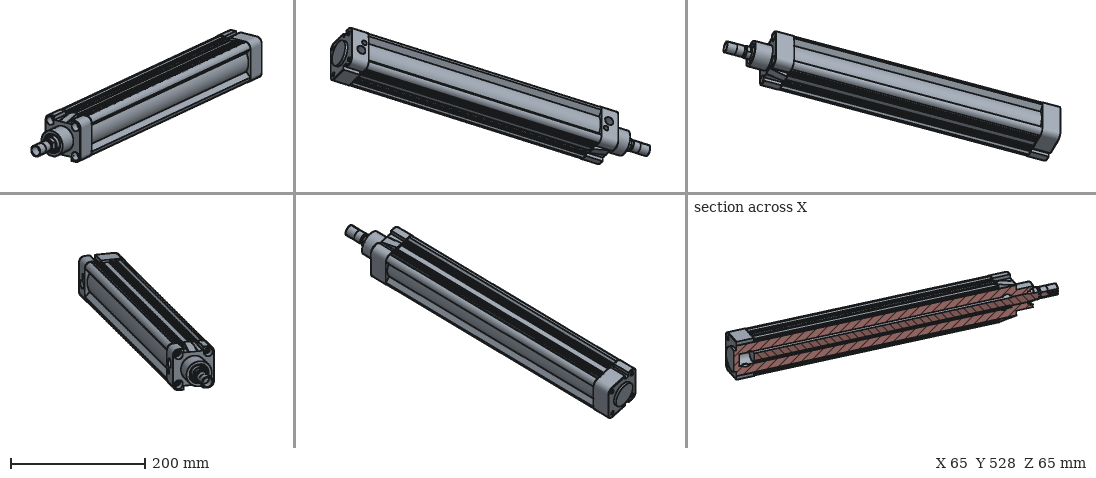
import cadquery as cq
import math

LENGTH = 528.0
WIDTH = 65.0
HALF = WIDTH / 2
CORNER_RADIUS = 10.0
FLAT_END = HALF - CORNER_RADIUS

ROD_TIP = -LENGTH / 2
REAR_END = LENGTH / 2
BOSS_DIAMETER = 39.5
REAR_BOSS_LENGTH = 4.0
NOSE_LENGTH = 27.0
CAP_LENGTH = 29.0
BODY_LENGTH = 456.0
REAR_FACE = REAR_END - REAR_BOSS_LENGTH
FRONT_FACE = REAR_FACE - BODY_LENGTH
NOSE_FACE = FRONT_FACE - NOSE_LENGTH
FRONT_JOINT = FRONT_FACE + CAP_LENGTH
REAR_JOINT = REAR_FACE - CAP_LENGTH
CAP_CHAMFER = 0.8

TUBE_INSET = 0.5
TUBE_HALF = HALF - TUBE_INSET
BARREL_RADIUS = 28.5
SIDE_SLOPE_START = FLAT_END
SIDE_SLOPE_END = 15.0
VEE_OUTER = FLAT_END
VEE_ROOT = 18.5
VEE_INNER = 15.5
VEE_DEPTH = 3.95
SLOT_CENTRE = 11.0
SLOT_OPENING = 5.5
SLOT_WIDTH = 9.5
SLOT_DEPTH = 6.0
LIP_THICKNESS = 2.5
LIP_INNER = 7.5
LIP_FOOT = 6.0

RAMP_FOOT_WIDTH = 14.0
RAMP_TOP_WIDTH = 11.0
NOTCH_INNER = RAMP_FOOT_WIDTH / 2
NOTCH_OUTER = 15.5
NOTCH_DEPTH = 6.5
RAMP_TOP = RAMP_TOP_WIDTH / 2

SCREW_OFFSET = 23.0
SCREW_DIAMETER = 6.5
SCREW_HEAD_DIAMETER = 13.0
SCREW_STEP_DIAMETER = 9.5
SCREW_HEAD_DEPTH = 13.0
SCREW_STEP_DEPTH = 18.5

PORT_DIAMETER = 13.5
PORT_FROM_JOINT = 12.5
PORT_Z = 6.5
NEEDLE_DIAMETER = 8.0
NEEDLE_FROM_JOINT = 7.5
NEEDLE_Z = 8.0

PASSAGE_DIAMETER = 25.0
WIPER_DIAMETER = 30.0
WIPER_DEPTH = 4.0
SEAL_DEPTH = 8.5
GUIDE_OVERLAP = 8.0
REAR_WALL = 5.5
GUIDE_END = FRONT_FACE + GUIDE_OVERLAP
CHAMBER_END = REAR_FACE - REAR_WALL

ROD_DIAMETER = 20.0
SHANK_PROTRUSION = 1.5
WRENCH_RADIUS = 9.5
WRENCH_LENGTH = 8.0
FLAT_HALF_WIDTH = 8.0
FLAT_LENGTH = 6.5
NECK_DIAMETER = 15.5
NECK_LENGTH = 3.0
WRENCH_START = NOSE_FACE - SHANK_PROTRUSION
NECK_START = WRENCH_START - WRENCH_LENGTH
STUD_START = NECK_START - NECK_LENGTH
STUD_DIAMETER = 17.5
STUD_BORE_DIAMETER = 15.0
STUD_BORE_DEPTH = 16.0


def bar(diameter, start, end, x=0.0, z=0.0):
    """Round bar parallel to Y between two stations."""
    plane = cq.Plane(origin=(x, start, z), xDir=(1, 0, 0), normal=(0, 1, 0))
    return cq.Workplane(plane).circle(diameter / 2).extrude(end - start)


def block(x_start, x_end, y_start, y_end, z_start, z_end):
    """Box given by its limits."""
    size = (x_end - x_start, y_end - y_start, z_end - z_start)
    return cq.Workplane().box(*size, centered=False).translate((x_start, y_start, z_start))


def prism(points, start, end):
    """Closed X-Z outline extruded along Y between two stations."""
    outline = cq.Workplane("XZ", origin=(0, start, 0)).polyline(points).close()
    return outline.extrude(start - end)


def both_x(shape):
    """The shape and its mirror image across X."""
    return [shape, shape.mirror("YZ")]


def both_z(shape):
    """The shape and its mirror image across Z."""
    return [shape, shape.mirror("XY")]


def rounded_bar(half, start, end):
    """Square bar along Y with rounded corners, whose flats end at the same place for any size."""
    radius = half - FLAT_END
    return block(-half, half, start, end, -half, half).edges("|Y").fillet(radius)


def make_tube():
    """Profiled tube between the two end caps."""
    start, end = FRONT_JOINT, REAR_JOINT
    tube = rounded_bar(TUBE_HALF, start, end)
    barrel = bar(2 * BARREL_RADIUS, start, end)

    slope_foot = math.sqrt(BARREL_RADIUS**2 - SIDE_SLOPE_END**2)
    side = prism([(TUBE_HALF, SIDE_SLOPE_START), (slope_foot, SIDE_SLOPE_END),
                  (slope_foot, -SIDE_SLOPE_END), (TUBE_HALF, -SIDE_SLOPE_START)], start, end)
    barrel_edge = math.sqrt(BARREL_RADIUS**2 - LIP_FOOT**2)
    middle = prism([(-LIP_INNER, TUBE_HALF), (-LIP_FOOT, barrel_edge),
                    (LIP_FOOT, barrel_edge), (LIP_INNER, TUBE_HALF)], start, end)
    vee = prism([(VEE_OUTER, TUBE_HALF), (VEE_ROOT, TUBE_HALF - VEE_DEPTH),
                 (VEE_INNER, TUBE_HALF)], start, end)
    opening = block(SLOT_CENTRE - SLOT_OPENING / 2, SLOT_CENTRE + SLOT_OPENING / 2,
                    start, end, TUBE_HALF - SLOT_DEPTH, TUBE_HALF)
    undercut = block(SLOT_CENTRE - SLOT_WIDTH / 2, SLOT_CENTRE + SLOT_WIDTH / 2,
                     start, end, TUBE_HALF - SLOT_DEPTH, TUBE_HALF - LIP_THICKNESS)

    for recess in both_x(side.cut(barrel)) + both_z(middle.cut(barrel)):
        tube = tube.cut(recess)
    for groove in (vee, opening, undercut):
        for right in both_z(groove):
            for copy in both_x(right):
                tube = tube.cut(copy)
    return tube


def make_ramp():
    """Tapered block that falls from the joint to the notch floor at the front face."""
    floor = HALF - NOTCH_DEPTH
    section = prism([(-NOTCH_INNER, floor), (-RAMP_TOP, HALF), (RAMP_TOP, HALF),
                     (NOTCH_INNER, floor)], FRONT_FACE, FRONT_JOINT)
    wedge = (cq.Workplane("YZ", origin=(-NOTCH_INNER, 0, 0))
             .polyline([(FRONT_FACE, floor), (FRONT_JOINT, floor), (FRONT_JOINT, HALF)])
             .close().extrude(2 * NOTCH_INNER))
    return section.intersect(wedge)


def make_front_cap():
    """Front cap with the ramped top and bottom notches and the round nose."""
    cap = rounded_bar(HALF, FRONT_FACE, FRONT_JOINT).faces("<Y").chamfer(CAP_CHAMFER)
    notch = block(-NOTCH_OUTER, NOTCH_OUTER, FRONT_FACE, FRONT_JOINT, HALF - NOTCH_DEPTH, HALF)
    for recess in both_z(notch.cut(make_ramp())):
        cap = cap.cut(recess)
    return cap.union(bar(BOSS_DIAMETER, NOSE_FACE, FRONT_FACE))


def make_rear_cap():
    """Rear cap with one notch at the top and bottom and a short round boss."""
    cap = rounded_bar(HALF, REAR_JOINT, REAR_FACE).faces(">Y").chamfer(CAP_CHAMFER)
    notch = block(-NOTCH_OUTER, -NOTCH_INNER, REAR_JOINT, REAR_FACE, HALF - NOTCH_DEPTH, HALF)
    for recess in both_z(notch):
        cap = cap.cut(recess)
    return cap.union(bar(BOSS_DIAMETER, REAR_FACE, REAR_END))


def side_hole(diameter, y, z):
    """Hole from the -X side to the axis."""
    return cq.Workplane("YZ", origin=(-HALF, y, z)).circle(diameter / 2).extrude(HALF)


def make_housing():
    """Tube and both caps in one piece, with the screw holes, ports and rod passage."""
    housing = make_tube().union(make_front_cap()).union(make_rear_cap())

    for x in (-SCREW_OFFSET, SCREW_OFFSET):
        for z in (-SCREW_OFFSET, SCREW_OFFSET):
            housing = housing.cut(bar(SCREW_DIAMETER, FRONT_FACE, REAR_FACE, x, z))
            housing = housing.cut(bar(SCREW_HEAD_DIAMETER, FRONT_FACE, FRONT_FACE + SCREW_HEAD_DEPTH, x, z))
            housing = housing.cut(bar(SCREW_STEP_DIAMETER, FRONT_FACE, FRONT_FACE + SCREW_STEP_DEPTH, x, z))

    housing = housing.cut(side_hole(PORT_DIAMETER, FRONT_JOINT - PORT_FROM_JOINT, PORT_Z))
    housing = housing.cut(side_hole(PORT_DIAMETER, REAR_JOINT + PORT_FROM_JOINT, -PORT_Z))
    housing = housing.cut(side_hole(NEEDLE_DIAMETER, FRONT_JOINT - NEEDLE_FROM_JOINT, -NEEDLE_Z))
    housing = housing.cut(side_hole(NEEDLE_DIAMETER, REAR_JOINT + NEEDLE_FROM_JOINT, NEEDLE_Z))

    housing = housing.cut(bar(WIPER_DIAMETER, NOSE_FACE, NOSE_FACE + WIPER_DEPTH))
    housing = housing.cut(bar(PASSAGE_DIAMETER, NOSE_FACE, NOSE_FACE + SEAL_DEPTH))
    housing = housing.cut(bar(ROD_DIAMETER, NOSE_FACE, GUIDE_END))
    return housing.cut(bar(PASSAGE_DIAMETER, GUIDE_END, CHAMBER_END))


def make_rod():
    """Rod from its stud tip to the rear cap."""
    rod = bar(ROD_DIAMETER, WRENCH_START, REAR_JOINT)
    rod = rod.union(bar(2 * WRENCH_RADIUS, NECK_START, WRENCH_START))
    flat = block(FLAT_HALF_WIDTH, WRENCH_RADIUS, NECK_START, NECK_START + FLAT_LENGTH,
                 -WRENCH_RADIUS, WRENCH_RADIUS)
    for side in both_x(flat):
        rod = rod.cut(side)
    rod = rod.union(bar(NECK_DIAMETER, STUD_START, NECK_START))
    rod = rod.union(bar(STUD_DIAMETER, ROD_TIP, STUD_START))
    return rod.cut(bar(STUD_BORE_DIAMETER, ROD_TIP, ROD_TIP + STUD_BORE_DEPTH))


housing = make_housing()
rod = make_rod()
result = cq.Compound.makeCompound([housing.val(), rod.val()])